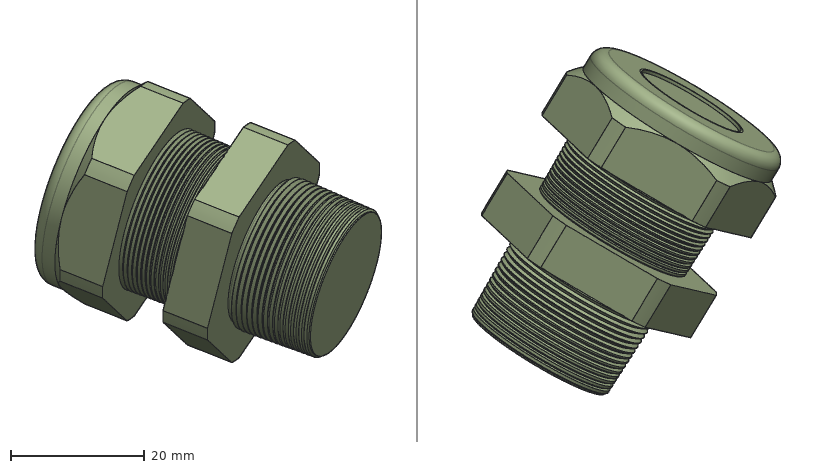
import cadquery as cq
import math


COLLAR_END = 4.2
CAP_END = 13.2
HEX_START = 23.42
HEX_END = 30.98
TOTAL_LENGTH = 44.95

ACROSS_FLATS = 33.0
CORNER_DIAMETER = 36.65

COLLAR_RADIUS = ACROSS_FLATS / 2
COLLAR_FILLET = 2.02

STEM_RADIUS = 9.0
RECESS_RADIUS = 8.68
RECESS_DEPTH = 0.5

CAP_THREAD_ROOT = 12.5
CAP_THREAD_CREST = 13.05
CAP_THREAD_END_CREST = 12.75
CAP_THREAD_TEETH = 14
CAP_THREAD_PITCH = (HEX_START - CAP_END) / (CAP_THREAD_TEETH - 0.5)

END_THREAD_ROOT = 11.6
END_THREAD_CREST = 12.35
END_THREAD_END_CREST = 11.95
END_THREAD_TEETH = 15
FIRST_CREST_X = 31.88
LAST_CREST_X = 44.3
END_THREAD_PITCH = (LAST_CREST_X - FIRST_CREST_X) / (END_THREAD_TEETH - 1)
UNDERCUT_FILLET = 0.65


def cylinder(radius, start, end):
    return cq.Workplane("YZ").workplane(offset=start).circle(radius).extrude(end - start)


def revolved(outline):
    """Turn a closed (x, radius) outline around the X axis."""
    return outline.close().revolve(360, (0, 0, 0), (1, 0, 0))


def hex_prism(start, end):
    """Hexagonal prism whose six corners are rounded to one turned diameter."""
    sharp_corner_diameter = ACROSS_FLATS / math.cos(math.pi / 6)
    prism = cq.Workplane("YZ").workplane(offset=start).polygon(6, sharp_corner_diameter).extrude(end - start)
    return prism.intersect(cylinder(CORNER_DIAMETER / 2, start, end))


def thread_points(first_crest, pitch, teeth, root, first_radius, last_radius):
    """Ring-thread outline from the first crest to the root behind the last one.

    The first tooth is sharp; the crests of the later ones are cut flat, ever lower.
    """
    points = [(first_crest, first_radius)]
    sharp_height = first_radius - root
    for tooth in range(teeth):
        crest_x = first_crest + tooth * pitch
        if tooth > 0:
            crest_radius = first_radius + (last_radius - first_radius) * tooth / (teeth - 1)
            half_land = pitch / 2 * (first_radius - crest_radius) / sharp_height
            points.append((crest_x - half_land, crest_radius))
            points.append((crest_x + half_land, crest_radius))
        points.append((crest_x + pitch / 2, root))
    return points


def make_cap():
    collar = cylinder(COLLAR_RADIUS, 0, COLLAR_END).faces("<X").edges().fillet(COLLAR_FILLET)

    bevel_length = CORNER_DIAMETER / 2 - COLLAR_RADIUS
    bevel_envelope = cylinder(CORNER_DIAMETER / 2, COLLAR_END, CAP_END)
    bevel_envelope = bevel_envelope.faces("<X").edges().chamfer(bevel_length)
    grip = hex_prism(COLLAR_END, CAP_END).intersect(bevel_envelope)

    bore = cylinder(STEM_RADIUS, 0, CAP_END)
    return collar.union(grip).cut(bore)


def make_cap_thread():
    points = thread_points(
        CAP_END, CAP_THREAD_PITCH, CAP_THREAD_TEETH,
        CAP_THREAD_ROOT, CAP_THREAD_CREST, CAP_THREAD_END_CREST,
    )
    outline = cq.Workplane("XY").moveTo(CAP_END, 0)
    for point in points:
        outline = outline.lineTo(*point)
    return revolved(outline.lineTo(HEX_START, 0))


def make_end_thread():
    points = thread_points(
        FIRST_CREST_X, END_THREAD_PITCH, END_THREAD_TEETH,
        END_THREAD_ROOT, END_THREAD_CREST, END_THREAD_END_CREST,
    )
    fillet_start = FIRST_CREST_X - UNDERCUT_FILLET
    fillet_end = (FIRST_CREST_X, END_THREAD_ROOT + UNDERCUT_FILLET)
    outline = cq.Workplane("XY").moveTo(HEX_END, 0).lineTo(HEX_END, END_THREAD_ROOT)
    outline = outline.lineTo(fillet_start, END_THREAD_ROOT).radiusArc(fillet_end, -UNDERCUT_FILLET)
    for point in points[1:]:
        outline = outline.lineTo(*point)
    return revolved(outline.lineTo(TOTAL_LENGTH, END_THREAD_ROOT).lineTo(TOTAL_LENGTH, 0))


def make_body():
    recess = cylinder(RECESS_RADIUS, 0, RECESS_DEPTH)
    stem = cylinder(STEM_RADIUS, 0, CAP_END).cut(recess)
    fixed_hex = hex_prism(HEX_START, HEX_END)
    return stem.union(make_cap_thread()).union(fixed_hex).union(make_end_thread())


cap = make_cap()
body = make_body()
result = cq.Compound.makeCompound([cap.val(), body.val()])